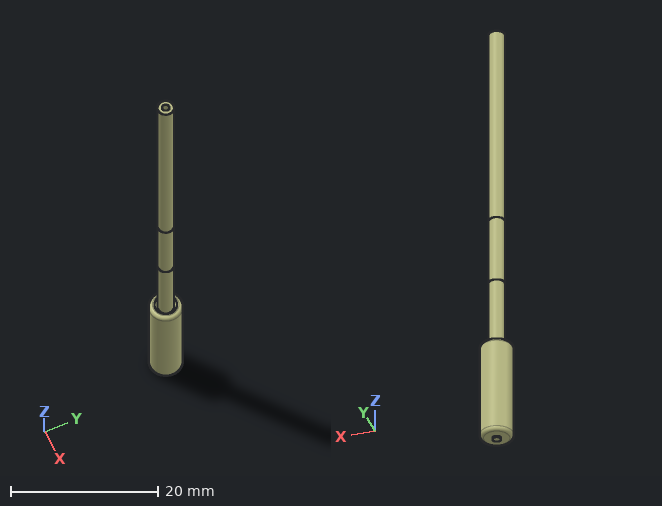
import cadquery as cq

TOTAL_HEIGHT = 65.0
NUB_HEIGHT = 0.2
NUB_DIAMETER = 1.2

HOUSING_DIAMETER = 4.7
HOUSING_TOP = 15.0
END_FILLET = 0.54
MOUTH_DIAMETER = 3.05
MOUTH_DEPTH = 0.5

CABLE_DIAMETER = 2.3
CABLE_BOTTOM = 10.0
BORE_DIAMETER = 1.0
BORE_DEPTH = 5.0
BAND_BOTTOM = 25.0
BAND_HEIGHT = 10.0
BAND_WALL = 0.25


def cylinder(diameter, bottom, top):
    """Upright cylinder on the Z axis between two heights."""
    return cq.Workplane("XY").workplane(offset=bottom).circle(diameter / 2).extrude(top - bottom)


def make_housing():
    """Barrel with rounded ends, a bottom nub, a cable socket and a conical mouth."""
    barrel = cylinder(HOUSING_DIAMETER, NUB_HEIGHT, HOUSING_TOP)
    barrel = barrel.faces(">Z").edges().fillet(END_FILLET)
    barrel = barrel.faces("<Z").edges().fillet(END_FILLET)
    barrel = barrel.union(cylinder(NUB_DIAMETER, 0, HOUSING_TOP / 2))
    socket = cylinder(CABLE_DIAMETER, CABLE_BOTTOM, HOUSING_TOP)
    mouth = cq.Workplane(
        cq.Solid.makeCone(
            CABLE_DIAMETER / 2, MOUTH_DIAMETER / 2, MOUTH_DEPTH, cq.Vector(0, 0, HOUSING_TOP - MOUTH_DEPTH)
        )
    )
    return barrel.cut(socket).cut(mouth)


def make_band():
    """Thin ring whose outside is flush with the cable."""
    band_top = BAND_BOTTOM + BAND_HEIGHT
    core = cylinder(CABLE_DIAMETER - 2 * BAND_WALL, BAND_BOTTOM, band_top)
    return cylinder(CABLE_DIAMETER, BAND_BOTTOM, band_top).cut(core)


def make_cable(band):
    """Rod with a blind bore in its top and a groove that holds the band."""
    rod = cylinder(CABLE_DIAMETER, CABLE_BOTTOM, TOTAL_HEIGHT)
    bore = cylinder(BORE_DIAMETER, TOTAL_HEIGHT - BORE_DEPTH, TOTAL_HEIGHT)
    return rod.cut(bore).cut(band)


housing = make_housing()
band = make_band()
cable = make_cable(band)

result = cq.Compound.makeCompound([housing.val(), band.val(), cable.val()])